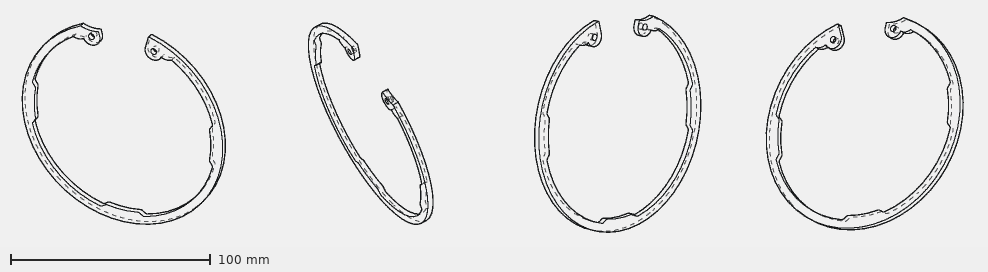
import cadquery as cq
import math

thickness = 3.1
outer_radius = 55.8
inner_radius = 51.5

pad_radius = 49.1
pad_tip_half_angle = 10.6
pad_root_half_angle = 13.2
pad_round = 1.5
pad_directions = (0, 180, 270)

hole_x = 17.3
hole_z = 46.0
hole_diameter = 3.1
lug_radius = 4.8
end_face_tilt = 14.5
corner_round = 0.6

swell_start = (27.4, 43.7)
swell_middle = (24.3, 43.0)
swell_end = (21.3, 44.1)

recess_outer_x = -23.2
recess_middle = (-17.6, 49.5)
recess_inner = (-13.2, 50.0)


def polar(radius, degrees):
    angle = math.radians(degrees)
    return (radius * math.cos(angle), radius * math.sin(angle))


def sketch_plane():
    """XZ plane placed so that the extrusions run toward -Y and end centred on Y = 0."""
    return cq.Workplane("XZ", origin=(0, thickness / 2, 0))


def disk(radius, center=(0, 0)):
    return sketch_plane().center(*center).circle(radius).extrude(thickness)


def open_ring():
    """Full annulus with a wedge removed between the two hole centres."""
    reach = 2
    left = (-hole_x * reach, hole_z * reach)
    right = (hole_x * reach, hole_z * reach)
    gap = sketch_plane().polyline([(0, 0), right, left]).close().extrude(thickness)
    return disk(outer_radius).cut(disk(inner_radius)).cut(gap)


def pad(direction):
    """Inner pad with sloping flanks, seated in the middle of the ring width."""
    seat_radius = (inner_radius + outer_radius) / 2
    low, high = direction - pad_root_half_angle, direction + pad_root_half_angle
    tip_low, tip_high = direction - pad_tip_half_angle, direction + pad_tip_half_angle
    return (
        sketch_plane()
        .moveTo(*polar(seat_radius, low))
        .lineTo(*polar(inner_radius, low))
        .lineTo(*polar(pad_radius, tip_low))
        .threePointArc(polar(pad_radius, direction), polar(pad_radius, tip_high))
        .lineTo(*polar(inner_radius, high))
        .lineTo(*polar(seat_radius, high))
        .threePointArc(polar(seat_radius, direction), polar(seat_radius, low))
        .close()
        .extrude(thickness)
    )


def round_pad_corners(body):
    """Round the tip and the root of every pad flank."""
    for direction in pad_directions:
        for side in (-1, 1):
            tip = polar(pad_radius, direction + side * pad_tip_half_angle)
            root = polar(inner_radius, direction + side * pad_root_half_angle)
            for x, z in (tip, root):
                edge = cq.selectors.NearestToPointSelector((x, 0, z))
                body = body.edges("|Y").edges(edge).fillet(pad_round)
    return body


def right_lug():
    """Rounded lug whose end face is tangent to the lug circle and runs to the ring's outer edge."""
    tilt = math.radians(end_face_tilt)
    tangent = (hole_x - lug_radius * math.cos(tilt), hole_z + lug_radius * math.sin(tilt))
    rise = outer_radius - tangent[1]
    top = (tangent[0] + rise * math.tan(tilt), outer_radius)
    web = (
        sketch_plane()
        .moveTo(*swell_start)
        .threePointArc(swell_middle, swell_end)
        .lineTo(hole_x, hole_z)
        .lineTo(*tangent)
        .lineTo(*top)
        .lineTo(swell_start[0], outer_radius)
        .close()
        .extrude(thickness)
        .intersect(disk(outer_radius))
    )
    hole_center = (hole_x, hole_z)
    lug = web.union(disk(lug_radius, hole_center))
    lug = lug.edges("|Y").edges(">Z").fillet(corner_round)
    return lug


def end_recess():
    """Concave cut above the left lug."""
    recess_outer_z = math.sqrt(outer_radius**2 - recess_outer_x**2)
    return (
        sketch_plane()
        .moveTo(recess_outer_x, recess_outer_z)
        .threePointArc(recess_middle, recess_inner)
        .lineTo(0, recess_inner[1])
        .lineTo(0, outer_radius)
        .lineTo(recess_outer_x, outer_radius)
        .close()
        .extrude(thickness)
    )


body = open_ring()
for pad_direction in pad_directions:
    body = body.union(pad(pad_direction))
body = round_pad_corners(body)

lug = right_lug()
left_lug = lug.mirror("YZ").cut(end_recess())
left_corner = cq.selectors.NearestToPointSelector((recess_inner[0], 0, recess_inner[1]))
left_lug = left_lug.edges("|Y").edges(left_corner).fillet(corner_round)

body = body.cut(end_recess()).union(lug).union(left_lug)
for side in (-1, 1):
    body = body.cut(disk(hole_diameter / 2, (side * hole_x, hole_z)))

result = body